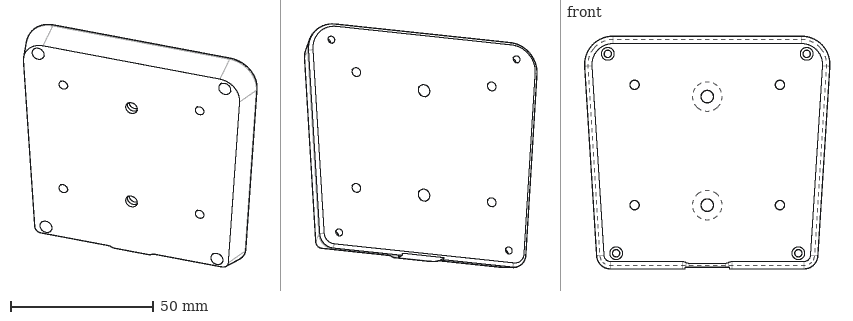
import cadquery as cq
import math

WIDTH = 86.3
DEPTH = 11.9
HEIGHT = 81.9
TOP_RADIUS = 10.0
BOTTOM_RADIUS = 5.0
BOTTOM_CENTRE_X = 33.9
TOP_CENTRE_X = WIDTH / 2 - TOP_RADIUS
TOP_CENTRE_Z = HEIGHT / 2 - TOP_RADIUS
BOTTOM_CENTRE_Z = BOTTOM_RADIUS - HEIGHT / 2

BACK_CHAMFER = 1.2
RIM_DEPTH = 0.9
DRAFT_ANGLE = 15.0
FRONT_Y = -DEPTH / 2
BACK_Y = DEPTH / 2
WALL_DEPTH = DEPTH - RIM_DEPTH - BACK_CHAMFER
RIM_Y = FRONT_Y + WALL_DEPTH
DRAFT_RISE = WALL_DEPTH * math.tan(math.radians(DRAFT_ANGLE))

SMALL_HOLE_DIAMETER = 3.2
SMALL_HOLE_X = 25.5
UPPER_SMALL_HOLE_Z = 23.8
LOWER_HOLE_Z = -18.5
LARGE_HOLE_DIAMETER = 4.3
UPPER_LARGE_HOLE_Z = 19.7
LIP_DEPTH = 1.7
CHAMBER_DIAMETER = 10.35
CHAMBER_DEPTH = 1.7
SCREW_DIAMETER = 2.5
SCREW_HEAD_DIAMETER = 4.5
SCREW_HEAD_DEPTH = 7.9
UPPER_SCREW_X = 34.9
UPPER_SCREW_Z = 34.7
LOWER_SCREW_X = 32.0
LOWER_SCREW_Z = -35.4

NOTCH_HALF_WIDTH = 7.8
NOTCH_DEPTH = 0.6
TAB_HALF_WIDTH = 8.6
TAB_TIP_HALF_WIDTH = 6.4
TAB_HEIGHT = 0.6
TAB_ROOT = 1.7
BOTTOM_Z = -HEIGHT / 2
FRONT_BOTTOM_Z = BOTTOM_Z + DRAFT_RISE


def xz_plane(y):
    """Workplane facing +Y whose local coordinates are (-X, Z)."""
    return cq.Workplane(cq.Plane(origin=(0, y, 0), xDir=(-1, 0, 0), normal=(0, 1, 0)))


def plate_section(y, inset):
    """Plate outline at depth y, moved inwards by inset, as a closed wire."""
    top_r = TOP_RADIUS - inset
    bottom_r = BOTTOM_RADIUS - inset
    dx = TOP_CENTRE_X - BOTTOM_CENTRE_X
    dz = TOP_CENTRE_Z - BOTTOM_CENTRE_Z
    tilt = math.asin((TOP_RADIUS - BOTTOM_RADIUS) / math.hypot(dx, dz))
    normal_angle = math.atan2(dz, dx) - math.pi / 2 - tilt

    def on_top(angle):
        return (TOP_CENTRE_X + top_r * math.cos(angle), TOP_CENTRE_Z + top_r * math.sin(angle))

    def on_bottom(angle):
        return (
            BOTTOM_CENTRE_X + bottom_r * math.cos(angle),
            BOTTOM_CENTRE_Z + bottom_r * math.sin(angle),
        )

    def mirrored(point):
        return (-point[0], point[1])

    top_end = on_top(math.pi / 2)
    top_mid = on_top((math.pi / 2 + normal_angle) / 2)
    side_top = on_top(normal_angle)
    side_bottom = on_bottom(normal_angle)
    bottom_mid = on_bottom((normal_angle - math.pi / 2) / 2)
    bottom_end = on_bottom(-math.pi / 2)
    return (
        xz_plane(y)
        .moveTo(*top_end)
        .threePointArc(top_mid, side_top)
        .lineTo(*side_bottom)
        .threePointArc(bottom_mid, bottom_end)
        .lineTo(*mirrored(bottom_end))
        .threePointArc(mirrored(bottom_mid), mirrored(side_bottom))
        .lineTo(*mirrored(side_top))
        .threePointArc(mirrored(top_mid), mirrored(top_end))
        .close()
        .val()
    )


def make_body():
    stations = [
        (FRONT_Y, DRAFT_RISE),
        (RIM_Y, 0),
        (BACK_Y - BACK_CHAMFER, 0),
        (BACK_Y, BACK_CHAMFER),
    ]
    sections = [plate_section(y, inset) for y, inset in stations]
    body = cq.Workplane()
    for near, far in zip(sections, sections[1:]):
        body = body.union(cq.Workplane(cq.Solid.makeLoft([near, far], True)))
    return body


def make_tab():
    """Tab with S-shaped flanks, running parallel to the drafted bottom wall."""
    tip_z = FRONT_BOTTOM_Z - TAB_HEIGHT
    root_z = FRONT_BOTTOM_Z + TAB_ROOT
    middle_x = (TAB_HALF_WIDTH + TAB_TIP_HALF_WIDTH) / 2
    middle_z = FRONT_BOTTOM_Z - TAB_HEIGHT / 2
    run = TAB_HALF_WIDTH - middle_x
    flank_radius = (run**2 + (TAB_HEIGHT / 2) ** 2) / TAB_HEIGHT
    outline = (
        xz_plane(FRONT_Y)
        .moveTo(TAB_HALF_WIDTH, root_z)
        .lineTo(TAB_HALF_WIDTH, FRONT_BOTTOM_Z)
        .radiusArc((middle_x, middle_z), -flank_radius)
        .radiusArc((TAB_TIP_HALF_WIDTH, tip_z), flank_radius)
        .lineTo(-TAB_TIP_HALF_WIDTH, tip_z)
        .radiusArc((-middle_x, middle_z), flank_radius)
        .radiusArc((-TAB_HALF_WIDTH, FRONT_BOTTOM_Z), -flank_radius)
        .lineTo(-TAB_HALF_WIDTH, root_z)
        .close()
    )
    path = cq.Vector(0, WALL_DEPTH, -DRAFT_RISE)
    tab = cq.Workplane(cq.Solid.extrudeLinear(outline.val(), [], path))
    return tab.intersect(cq.Workplane().box(WIDTH, DEPTH, HEIGHT))


def make_notch():
    """Shallow flat-floored notch through the bottom, centred on the tab."""
    return cq.Workplane().box(2 * NOTCH_HALF_WIDTH, DEPTH, 2 * NOTCH_DEPTH).translate((0, 0, BOTTOM_Z))


def cylinder(x, z, diameter, start, length):
    """Cylinder along +Y starting the given distance behind the front face."""
    origin = cq.Vector(x, FRONT_Y + start, z)
    return cq.Workplane(cq.Solid.makeCylinder(diameter / 2, length, origin, cq.Vector(0, 1, 0)))


def cut_holes(body):
    for x in (-SMALL_HOLE_X, SMALL_HOLE_X):
        for z in (UPPER_SMALL_HOLE_Z, LOWER_HOLE_Z):
            body = body.cut(cylinder(x, z, SMALL_HOLE_DIAMETER, 0, DEPTH))
    for z in (UPPER_LARGE_HOLE_Z, LOWER_HOLE_Z):
        body = body.cut(cylinder(0, z, LARGE_HOLE_DIAMETER, 0, DEPTH))
        body = body.cut(cylinder(0, z, CHAMBER_DIAMETER, LIP_DEPTH, CHAMBER_DEPTH))
    for side in (-1, 1):
        for x, z in ((UPPER_SCREW_X, UPPER_SCREW_Z), (LOWER_SCREW_X, LOWER_SCREW_Z)):
            body = body.cut(cylinder(side * x, z, SCREW_DIAMETER, 0, DEPTH))
            body = body.cut(cylinder(side * x, z, SCREW_HEAD_DIAMETER, 0, SCREW_HEAD_DEPTH))
    return body


plate = make_body().union(make_tab()).cut(make_notch())
result = cut_holes(plate)